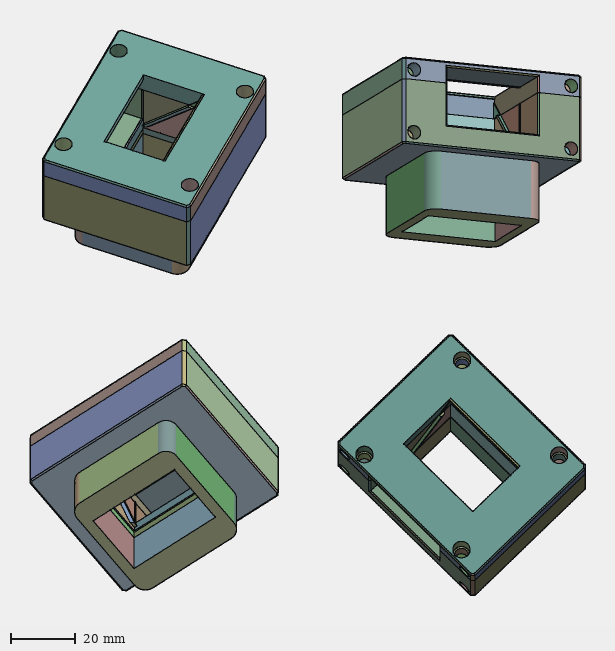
import cadquery as cq

BOX_X = 50.0
BOX_Y = 60.0
NECK_HEIGHT = 18.5
HOUSING_HEIGHT = 20.5
LID_HEIGHT = 7.0
HOUSING_BOTTOM = NECK_HEIGHT
PARTING_Z = HOUSING_BOTTOM + HOUSING_HEIGHT
LID_TOP = PARTING_Z + LID_HEIGHT

CORNER_CHAMFER = 0.95
RIM_CHAMFER = 0.5

NECK_SIDE = 38.1
NECK_CENTER_X = -0.7
NECK_CORNER_RADIUS = 4.0

SHAFT_X = 20.5
SHAFT_Y = 30.35
SHAFT_HALF_X = SHAFT_X / 2
SHAFT_HALF_Y = SHAFT_Y / 2
LOWER_SHAFT_GROWTH = 0.4
LOWER_SHAFT_HEIGHT = 3.2

WINDOW_SILL = 25.7
WINDOW_HEIGHT = 18.5
WINDOW_TOP = WINDOW_SILL + WINDOW_HEIGHT
LIP_WIDTH = 0.6
STEP = 0.25

RIB_TOP_X = 5.15
RIB_HEIGHT = 1.0
RIB_TIP_WIDTH = 1.4
RIB_ROOT_WIDTH = RIB_TIP_WIDTH + RIB_HEIGHT

LEDGE_WIDTH = 0.65
LEDGE_DEPTH = 0.1
LEDGE_THICKNESS = 0.65

SCREW_SPACING = 42.6
LID_HOLE_DIAMETER = 5.3
SCREW_DIAMETER = 4.2
SCREW_DEPTH = 7.2
SCREW_TIP_DEPTH = 1.2

SIDE_HOLE_DIAMETER = 4.25
SIDE_HOLE_DEPTH = 6.0
SIDE_HOLE_SPACING_Y = 52.55
SIDE_HOLE_LOW_Z = 22.2
SIDE_HOLE_HIGH_Z = 42.25


def slab(x_range, y_size, z_range):
    """Block centred on Y between the given X and Z limits."""
    x_size = x_range[1] - x_range[0]
    z_size = z_range[1] - z_range[0]
    center_x = (x_range[0] + x_range[1]) / 2
    return cq.Workplane("XY").box(x_size, y_size, z_size, (True, True, False)).translate(
        (center_x, 0, z_range[0])
    )


def outer_block(z_range, rim):
    """Block of the box outline with chamfered corners and one chamfered rim."""
    block = slab((-BOX_X / 2, BOX_X / 2), BOX_Y, z_range)
    return block.edges("|Z").chamfer(CORNER_CHAMFER).faces(rim).chamfer(RIM_CHAMFER)


def shaft():
    """Vertical duct, as a cutting solid for the lid and the housing."""
    return slab((-SHAFT_HALF_X, SHAFT_HALF_X), SHAFT_Y, (HOUSING_BOTTOM, LID_TOP))


def lower_shaft():
    """Wider duct below the housing floor, as a cutting solid for the housing and the neck."""
    half_x = SHAFT_HALF_X + LOWER_SHAFT_GROWTH
    width_y = SHAFT_Y + 2 * LOWER_SHAFT_GROWTH
    return slab((-half_x, half_x), width_y, (0, HOUSING_BOTTOM + LOWER_SHAFT_HEIGHT))


def window():
    """Side window up to the lip, with a flared mouth, as a cutting solid."""
    tunnel = slab(
        (-BOX_X / 2, -SHAFT_HALF_X - LIP_WIDTH), SHAFT_Y, (WINDOW_SILL, WINDOW_TOP)
    )
    mouth = (
        cq.Workplane("YZ", origin=(-BOX_X / 2, 0, (WINDOW_SILL + WINDOW_TOP) / 2))
        .rect(SHAFT_Y + 2 * RIM_CHAMFER, WINDOW_HEIGHT + 2 * RIM_CHAMFER)
        .workplane(offset=RIM_CHAMFER)
        .rect(SHAFT_Y, WINDOW_HEIGHT)
        .loft()
    )
    return tunnel.union(mouth)


def lip_opening(width_y):
    """Smaller passage through the lip between the window and the shaft."""
    return slab(
        (-SHAFT_HALF_X - LIP_WIDTH, -SHAFT_HALF_X), width_y, (WINDOW_SILL + STEP, WINDOW_TOP - STEP)
    )


def side_holes(center_z):
    """Pair of blind holes in the -X face at one height."""
    return (
        cq.Workplane("YZ", origin=(-BOX_X / 2, 0, center_z))
        .rarray(SIDE_HOLE_SPACING_Y, 0.6, 2, 1)
        .circle(SIDE_HOLE_DIAMETER / 2)
        .extrude(SIDE_HOLE_DEPTH)
    )


def screw_centers(plane_z):
    """Workplane holding the four screw positions at one height."""
    return cq.Workplane("XY", origin=(0, 0, plane_z)).rarray(SCREW_SPACING, SCREW_SPACING, 2, 2)


def screw_holes():
    """Blind screw holes with conical tips, below the parting plane."""
    radius = SCREW_DIAMETER / 2
    drill = (
        cq.Workplane("XZ")
        .polyline([(0, 0), (radius, 0), (radius, -SCREW_DEPTH), (0, -SCREW_DEPTH - SCREW_TIP_DEPTH)])
        .close()
        .revolve(360, (0, 0, 0), (0, 1, 0))
        .val()
    )
    return screw_centers(PARTING_Z).eachpoint(lambda place: drill.moved(place))


def rib():
    """Rib on the +Y shaft wall, running down at 45 degrees from the parting plane to the -X side."""
    tip_y = SHAFT_HALF_Y - RIB_HEIGHT
    section = cq.Wire.makePolygon(
        [
            cq.Vector(RIB_TOP_X, SHAFT_HALF_Y, PARTING_Z),
            cq.Vector(RIB_TOP_X, tip_y, PARTING_Z),
            cq.Vector(RIB_TOP_X + RIB_TIP_WIDTH, tip_y, PARTING_Z),
            cq.Vector(RIB_TOP_X + RIB_ROOT_WIDTH, SHAFT_HALF_Y, PARTING_Z),
        ],
        close=True,
    )
    run = RIB_TOP_X + SHAFT_HALF_X
    return cq.Workplane(cq.Solid.extrudeLinear(section, [], cq.Vector(-run, 0, -run)))


def cheek():
    """Thin triangular pad on the +Y lid wall, below the 45 degree plane of the ribs."""
    run = SHAFT_HALF_X - RIB_TOP_X
    return (
        cq.Workplane("XZ", origin=(0, SHAFT_HALF_Y, 0))
        .polyline(
            [
                (RIB_TOP_X, PARTING_Z),
                (SHAFT_HALF_X, PARTING_Z),
                (SHAFT_HALF_X, PARTING_Z + run),
            ]
        )
        .close()
        .extrude(STEP)
    )


def make_neck():
    """Square neck with rounded corners below the housing."""
    neck = (
        slab((-NECK_SIDE / 2, NECK_SIDE / 2), NECK_SIDE, (0, NECK_HEIGHT))
        .edges("|Z")
        .fillet(NECK_CORNER_RADIUS)
        .translate((NECK_CENTER_X, 0, 0))
    )
    return neck.cut(lower_shaft())


def make_housing():
    """Main box with shaft, window, lip and slanted ribs."""
    housing = outer_block((HOUSING_BOTTOM, PARTING_Z), "<Z")
    housing = housing.cut(shaft()).cut(lower_shaft()).cut(window())
    housing = housing.cut(lip_opening(SHAFT_Y - 2 * STEP))
    housing = housing.union(rib()).union(rib().mirror("XZ"))
    return housing.cut(screw_holes()).cut(side_holes(SIDE_HOLE_LOW_Z))


def make_lid():
    """Cover with the top opening, its ledge and the upper part of the window."""
    lid = outer_block((PARTING_Z, LID_TOP), ">Z")
    lid = lid.cut(shaft()).cut(window()).cut(lip_opening(SHAFT_Y))
    ledge_top = LID_TOP - LEDGE_DEPTH
    ledge = slab(
        (SHAFT_HALF_X - LEDGE_WIDTH, SHAFT_HALF_X), SHAFT_Y, (ledge_top - LEDGE_THICKNESS, ledge_top)
    )
    lid = lid.union(ledge).union(cheek()).union(cheek().mirror("XZ"))
    bores = screw_centers(PARTING_Z).circle(LID_HOLE_DIAMETER / 2).extrude(LID_HEIGHT)
    return lid.cut(bores).cut(side_holes(SIDE_HOLE_HIGH_Z))


neck = make_neck()
housing = make_housing()
lid = make_lid()

result = cq.Compound.makeCompound([neck.solids().val(), housing.solids().val(), lid.solids().val()])